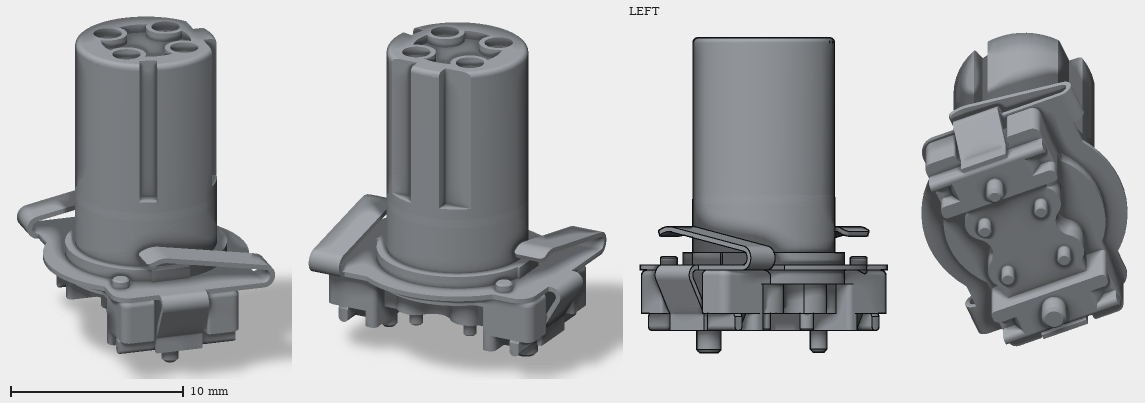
import cadquery as cq
import math

PART_TURN = 45.0

TOP_Z = 18.3
KEY_FLOOR_Z = 9.8
TAPER_TOP_Z = 9.15
TAPER_BOTTOM_Z = 8.65
COLLAR_TOP_Z = 5.82
PLATE_BOTTOM_Z = 4.81
PLATE_THICKNESS = 0.3
PLATE_TOP_Z = PLATE_BOTTOM_Z + PLATE_THICKNESS
DISC_BOTTOM_Z = 4.0
BLOCK_BOTTOM_Z = 2.29
FOOT_Z = 1.3

BARREL_RADIUS = 4.12
BARREL_BASE_RADIUS = 4.14
BARREL_TOP_ROUND = 0.31
COLLAR_RADIUS = 4.7
COLLAR_PAD_HALF_WIDTH = 1.15

KEY_FLAT_U = 3.18
KEY_WIDTH = 1.85
GROOVE_ANGLE = -106.0
GROOVE_WIDTH = 1.02
GROOVE_FLOOR_RADIUS = 3.25

FACE_RECESS_RADIUS = 2.62
FACE_DEPTH = 0.51
RING_RADIUS = 1.13
CONTACT_PITCH = 3.53
CONTACT_RADIUS = 0.82
TAIL_RADIUS = 0.38
TAIL_CHAMFER = 0.07

BLOCK_HALF_LENGTH = 3.59
BLOCK_INNER_V = 3.48
BLOCK_OUTER_V = 6.75
BLOCK_CORNER_RADIUS = 0.5
BLOCK_TOP_ROUND = 0.33
LEG_SLOT_HALF_WIDTH = 1.61
LEG_SLOT_FLOOR_V = 5.95
LEG_SLOT_INNER_ROUND = 0.38
LEG_SLOT_OUTER_ROUND = 0.16

RAIL_WIDTH = 0.8
RAIL_INNER_ROUND = 0.27
RAIL_OUTER_ROUND = 0.35
TAB_HALF_LENGTH = 3.55
TAB_INNER_V = 5.33
TAB_WIDTH = 0.6
TAB_BOTTOM_ROUND = 0.27
TAB_END_BEVEL = (0.1, 0.18)
WEB_TOP_HALF_LENGTH = 2.8
WEB_BOTTOM_HALF_LENGTH = 2.27

CORE_HALF_LENGTH = 2.47
LOBE_RADIUS = 1.15
VALLEY_U = 3.11

PEG_V = 4.5
LARGE_PEG_RADIUS = 0.71
SMALL_PEG_RADIUS = 0.5
SMALL_PEG_TIP_Z = 0.04
PEG_CHAMFER = 0.18
STUD_U = 3.07
STUD_V = 4.72
STUD_RADIUS = 0.5
STUD_TOP_Z = 5.6
STUD_CHAMFER = 0.1

PLATE_RADIUS = 5.98
WING_ARM_U = -5.0
WING_EAR_U = 3.99
EAR_RADIUS = 1.02
ARM_WIDTH = 2.0
ARM_LOOP_RADIUS = 0.55
ARM_SLOPE = 10.7
ARM_LENGTH = 6.02
CREST_RADIUS = 1.34
LIP_SLOPE = 23.0
LIP_LENGTH = 0.45
LIP_CORNER_RADIUS = 0.3
LEG_WIDTH = 2.8
LEG_STUB = 0.18
LEG_BEND_RADIUS = 0.44
LEG_TILT = 30.0
LEG_KNEE_RADIUS = 0.3
LEG_FOOT_V = 6.15


def cylinder(radius, bottom, top, at=(0, 0)):
    return cq.Workplane("XY", origin=(*at, bottom)).circle(radius).extrude(top - bottom)


def block(u_range, v_range, z_range):
    size = [high - low for low, high in (u_range, v_range, z_range)]
    corner = (u_range[0], v_range[0], z_range[0])
    return cq.Workplane("XY").box(*size, centered=False).translate(corner)


def half_turn(body):
    return body.rotate((0, 0, 0), (0, 0, 1), 180)


def both_sides(body):
    return body.union(half_turn(body))


def contact_places():
    half = CONTACT_PITCH / 2
    return [(u, v) for u in (-half, half) for v in (-half, half)]


def strip_station(place, heading, side):
    """Point half a sheet thickness to the left (side 1) or right (side -1) of the strip's middle."""
    normal = math.radians(heading + 90)
    reach = side * PLATE_THICKNESS / 2
    return (place[0] + reach * math.cos(normal), place[1] + reach * math.sin(normal))


def strip_stations(start, heading, steps):
    """Middle points and headings of each step: two for a straight run, three for a bend."""
    runs = []
    place = start
    for size, turn in steps:
        pieces = 2 if turn else 1
        run = [(place, heading)]
        for _ in range(pieces):
            piece_turn = turn / pieces
            chord = 2 * size * math.sin(math.radians(abs(piece_turn) / 2)) if turn else size
            direction = math.radians(heading + piece_turn / 2)
            place = (place[0] + chord * math.cos(direction), place[1] + chord * math.sin(direction))
            heading += piece_turn
            run.append((place, heading))
        runs.append(run)
    return runs


def draw_run(outline, points):
    if len(points) == 2:
        return outline.lineTo(*points[1])
    return outline.threePointArc(points[1], points[2])


def strip_profile(plane, start, heading, steps):
    """Closed outline of a bent strip, followed along its middle from `start`.

    Each step is (length, 0) for a straight run or (middle radius, signed turn in degrees) for a bend.
    """
    runs = strip_stations(start, heading, steps)
    left = [[strip_station(*station, 1) for station in run] for run in runs]
    right = [[strip_station(*station, -1) for station in reversed(run)] for run in reversed(runs)]
    outline = cq.Workplane(plane).moveTo(*left[0][0])
    for points in left:
        outline = draw_run(outline, points)
    outline = outline.lineTo(*right[0][0])
    for points in right:
        outline = draw_run(outline, points)
    return outline.close()



def barrel():
    return (
        cq.Workplane("XZ")
        .polyline([
            (0, COLLAR_TOP_Z),
            (BARREL_BASE_RADIUS, COLLAR_TOP_Z),
            (BARREL_BASE_RADIUS, TAPER_BOTTOM_Z),
            (BARREL_RADIUS, TAPER_TOP_Z),
            (BARREL_RADIUS, TOP_Z),
            (0, TOP_Z),
        ])
        .close()
        .revolve(360, (0, 0, 0), (0, 1, 0))
        .faces(">Z")
        .edges()
        .fillet(BARREL_TOP_ROUND)
    )


def collar(bottom=DISC_BOTTOM_Z):
    """Round collar whose two pads square it off next to the spring arms."""
    pads = block(
        (-COLLAR_PAD_HALF_WIDTH, COLLAR_PAD_HALF_WIDTH),
        (-COLLAR_RADIUS, COLLAR_RADIUS),
        (bottom, COLLAR_TOP_Z),
    )
    return cylinder(COLLAR_RADIUS, bottom, COLLAR_TOP_Z).union(pads)


def key_cuts():
    """Flats on both sides of the coding key, leaving the key standing on the barrel."""
    flats = block(
        (KEY_FLAT_U, 2 * BARREL_RADIUS),
        (-BARREL_RADIUS, BARREL_RADIUS),
        (KEY_FLOOR_Z, TOP_Z),
    )
    key = block(
        (KEY_FLAT_U, 2 * BARREL_RADIUS),
        (-KEY_WIDTH / 2, KEY_WIDTH / 2),
        (KEY_FLOOR_Z, TOP_Z),
    )
    return flats.cut(key)


def coding_groove():
    groove = block(
        (GROOVE_FLOOR_RADIUS, 2 * BARREL_RADIUS),
        (-GROOVE_WIDTH / 2, GROOVE_WIDTH / 2),
        (KEY_FLOOR_Z, TOP_Z),
    )
    return groove.rotate((0, 0, 0), (0, 0, 1), GROOVE_ANGLE)


def face_recess():
    """Recess in the mating face that leaves a ring around each contact."""
    recess = cylinder(FACE_RECESS_RADIUS, TOP_Z - FACE_DEPTH, TOP_Z)
    for place in contact_places():
        recess = recess.cut(cylinder(RING_RADIUS, TOP_Z - FACE_DEPTH, TOP_Z, place))
    return recess


def core():
    """Core under the disc: a round lobe around each contact, with a hollow end between two lobes.

    The hollows curve smoothly into the lobes beside them.
    """
    body = block(
        (-CORE_HALF_LENGTH, CORE_HALF_LENGTH),
        (-BLOCK_INNER_V, BLOCK_INNER_V),
        (BLOCK_BOTTOM_Z, DISC_BOTTOM_Z),
    )
    for place in contact_places():
        body = body.union(cylinder(LOBE_RADIUS, BLOCK_BOTTOM_Z, DISC_BOTTOM_Z, place))
    half = CONTACT_PITCH / 2
    valley_radius = math.hypot(VALLEY_U - half, half) - LOBE_RADIUS
    valley = cylinder(valley_radius, BLOCK_BOTTOM_Z, DISC_BOTTOM_Z, (VALLEY_U, 0))
    return body.cut(both_sides(valley))


def mounting_block():
    """Block on the +V side, with an open slot for the leg of the plate.

    Level with the disc it reaches inwards to the axis; below, it stops at the opening around the core.
    """
    body = block(
        (-BLOCK_HALF_LENGTH, BLOCK_HALF_LENGTH),
        (0, BLOCK_OUTER_V),
        (BLOCK_BOTTOM_Z, PLATE_BOTTOM_Z),
    )
    body = body.edges("|Z and >Y").fillet(BLOCK_CORNER_RADIUS)
    body = body.faces(">Z").edges("not(<Y)").fillet(BLOCK_TOP_ROUND)
    opening = block(
        (-BLOCK_HALF_LENGTH, BLOCK_HALF_LENGTH),
        (0, BLOCK_INNER_V),
        (BLOCK_BOTTOM_Z, DISC_BOTTOM_Z),
    )
    body = body.cut(opening)
    opening_corners = cq.selectors.BoxSelector(
        (-BLOCK_HALF_LENGTH - 0.18, BLOCK_INNER_V - 0.18, 0),
        (BLOCK_HALF_LENGTH + 0.18, BLOCK_INNER_V + 0.18, DISC_BOTTOM_Z),
    )
    body = body.edges("|Z").edges(opening_corners).fillet(RAIL_INNER_ROUND)
    slot = block(
        (-LEG_SLOT_HALF_WIDTH, LEG_SLOT_HALF_WIDTH),
        (LEG_SLOT_FLOOR_V, BLOCK_OUTER_V),
        (BLOCK_BOTTOM_Z, PLATE_BOTTOM_Z),
    )
    body = body.cut(slot.edges("|Z and <Y").fillet(LEG_SLOT_INNER_ROUND))
    slot_mouth = cq.selectors.BoxSelector(
        (-LEG_SLOT_HALF_WIDTH - 0.18, BLOCK_OUTER_V - 0.18, 0),
        (LEG_SLOT_HALF_WIDTH + 0.18, BLOCK_OUTER_V + 0.18, PLATE_BOTTOM_Z),
    )
    return body.edges("|Z").edges(slot_mouth).fillet(LEG_SLOT_OUTER_ROUND)


def rail():
    body = block(
        (-BLOCK_HALF_LENGTH, BLOCK_HALF_LENGTH),
        (BLOCK_INNER_V, BLOCK_INNER_V + RAIL_WIDTH),
        (FOOT_Z, BLOCK_BOTTOM_Z),
    )
    body = body.edges("|Z and <Y").fillet(RAIL_INNER_ROUND)
    return body.edges("|Z and >Y").fillet(RAIL_OUTER_ROUND)


def tab():
    bevel_run, bevel_drop = TAB_END_BEVEL
    top_half = TAB_HALF_LENGTH - bevel_run
    bevel_z = BLOCK_BOTTOM_Z - bevel_drop
    return (
        cq.Workplane("XZ", origin=(0, TAB_INNER_V + TAB_WIDTH, 0))
        .polyline([
            (-TAB_HALF_LENGTH, FOOT_Z),
            (TAB_HALF_LENGTH, FOOT_Z),
            (TAB_HALF_LENGTH, bevel_z),
            (top_half, BLOCK_BOTTOM_Z),
            (-top_half, BLOCK_BOTTOM_Z),
            (-TAB_HALF_LENGTH, bevel_z),
        ])
        .close()
        .extrude(TAB_WIDTH)
        .faces("<Z")
        .edges("|X")
        .fillet(TAB_BOTTOM_ROUND)
    )


def web():
    outer_v = TAB_INNER_V + TAB_WIDTH / 2
    inner_v = BLOCK_INNER_V + RAIL_WIDTH / 2
    return (
        cq.Workplane("XZ", origin=(0, outer_v, 0))
        .polyline([
            (-WEB_BOTTOM_HALF_LENGTH, FOOT_Z),
            (WEB_BOTTOM_HALF_LENGTH, FOOT_Z),
            (WEB_TOP_HALF_LENGTH, BLOCK_BOTTOM_Z),
            (-WEB_TOP_HALF_LENGTH, BLOCK_BOTTOM_Z),
        ])
        .close()
        .extrude(outer_v - inner_v)
    )


def peg(radius, tip_z, v):
    return cylinder(radius, tip_z, BLOCK_BOTTOM_Z, (0, v)).faces("<Z").chamfer(PEG_CHAMFER)


def stud():
    body = cylinder(STUD_RADIUS, PLATE_BOTTOM_Z - BLOCK_TOP_ROUND, STUD_TOP_Z, (STUD_U, STUD_V))
    return body.faces(">Z").chamfer(STUD_CHAMFER)


def make_contact(place):
    """Solid contact: a wide upper part in the barrel and a thin solder tail."""
    tail = cylinder(TAIL_RADIUS, FOOT_Z, DISC_BOTTOM_Z, place).faces("<Z").chamfer(TAIL_CHAMFER)
    return tail.union(cylinder(CONTACT_RADIUS, DISC_BOTTOM_Z, TOP_Z - FACE_DEPTH, place))


def contact_bore(place):
    wide = cylinder(CONTACT_RADIUS, DISC_BOTTOM_Z, TOP_Z, place)
    return wide.union(cylinder(TAIL_RADIUS, FOOT_Z, DISC_BOTTOM_Z, place))


def make_housing():
    body = barrel().cut(key_cuts()).cut(coding_groove()).cut(face_recess())
    body = body.union(collar()).union(core())
    for feature in (mounting_block(), rail(), tab(), web(), stud()):
        body = body.union(both_sides(feature))
    body = body.union(peg(LARGE_PEG_RADIUS, 0, PEG_V))
    body = body.union(peg(SMALL_PEG_RADIUS, SMALL_PEG_TIP_Z, -PEG_V))
    for place in contact_places():
        body = body.cut(contact_bore(place))
    return body



def plate_wing():
    """Half of the sheet on the +V side, from the arm edge to the rounded ear."""
    wing = block((WING_ARM_U, WING_EAR_U), (0, BLOCK_OUTER_V), (PLATE_BOTTOM_Z, PLATE_TOP_Z))
    return wing.edges("|Z and >X and >Y").fillet(EAR_RADIUS)


def spring_arm():
    start = (WING_ARM_U, PLATE_BOTTOM_Z + PLATE_THICKNESS / 2)
    steps = [
        (ARM_LOOP_RADIUS, ARM_SLOPE - 180),
        (ARM_LENGTH, 0),
        (CREST_RADIUS, -ARM_SLOPE - LIP_SLOPE),
        (LIP_LENGTH, 0),
    ]
    arm = strip_profile("XZ", start, 180, steps).extrude(-ARM_WIDTH)
    lip_corners = arm.faces(">X").edges("not(|Y)")
    return lip_corners.fillet(LIP_CORNER_RADIUS).translate((0, BLOCK_OUTER_V - ARM_WIDTH, 0))


def leg():
    """Leg that bends down over the block edge and stands upright outside the tab."""
    tilt = math.radians(LEG_TILT)
    bend_z = PLATE_BOTTOM_Z + PLATE_THICKNESS / 2 - LEG_BEND_RADIUS
    bend_end_v = BLOCK_OUTER_V + LEG_STUB + LEG_BEND_RADIUS * math.cos(tilt)
    bend_end_z = bend_z - LEG_BEND_RADIUS * math.sin(tilt)
    knee_run = LEG_KNEE_RADIUS * (1 - math.cos(tilt))
    knee_drop = LEG_KNEE_RADIUS * math.sin(tilt)
    slant = (bend_end_v - LEG_FOOT_V - knee_run) / math.sin(tilt)
    upright = bend_end_z - slant * math.cos(tilt) - knee_drop - FOOT_Z
    start = (BLOCK_OUTER_V, PLATE_BOTTOM_Z + PLATE_THICKNESS / 2)
    steps = [
        (LEG_STUB, 0),
        (LEG_BEND_RADIUS, -90 - LEG_TILT),
        (slant, 0),
        (LEG_KNEE_RADIUS, LEG_TILT),
        (upright, 0),
    ]
    return strip_profile("YZ", start, 0, steps).extrude(LEG_WIDTH / 2, both=True)


def make_plate():
    sheet = cylinder(PLATE_RADIUS, PLATE_BOTTOM_Z, PLATE_TOP_Z).union(both_sides(plate_wing()))
    sheet = sheet.cut(collar())
    for place in ((STUD_U, STUD_V), (-STUD_U, -STUD_V)):
        sheet = sheet.cut(cylinder(STUD_RADIUS, PLATE_BOTTOM_Z, PLATE_TOP_Z, place))
    for feature in (spring_arm(), leg()):
        sheet = sheet.union(both_sides(feature))
    return sheet



def turned(body):
    return body.rotate((0, 0, 0), (0, 0, 1), PART_TURN).val()


housing = make_housing()
plate = make_plate()
contacts = [make_contact(place) for place in contact_places()]

result = cq.Compound.makeCompound([turned(body) for body in (housing, plate, *contacts)])